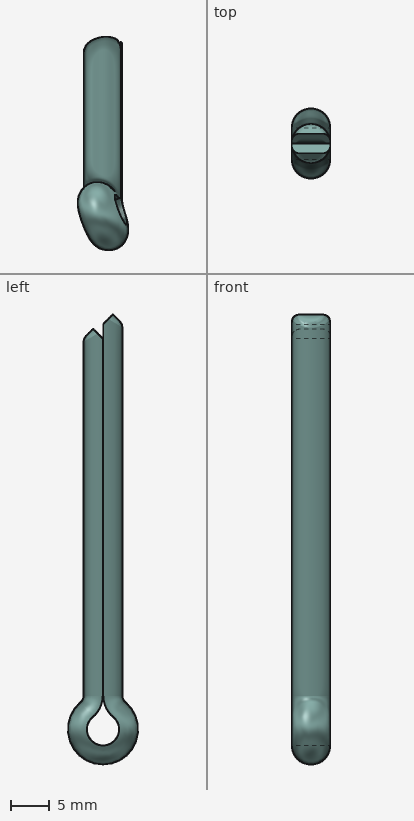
import cadquery as cq
import math


overall_length = 58.45
wire_radius = 2.5
eye_outer_radius = 4.59
leg_gap = 0.05
neck_height = 8.95
short_leg_step = 1.85
tip_edge_radius = 1.05

half_gap = leg_gap / 2
eye_inner_radius = eye_outer_radius - wire_radius
eye_height = eye_outer_radius
ridge_y = half_gap + wire_radius / 2

neck_rise = neck_height - eye_height
neck_radius = (neck_rise**2 + half_gap**2 - eye_inner_radius**2) / (2 * (eye_inner_radius - half_gap))
tangent_angle = math.atan2(neck_rise, half_gap + neck_radius)


def half_disc(plane, flat_offset):
    """Wire section, round towards the plane's local +X, with its flat at flat_offset."""
    return (
        cq.Workplane(plane)
        .moveTo(flat_offset, -wire_radius)
        .threePointArc((flat_offset + wire_radius, 0), (flat_offset, wire_radius))
        .close()
    )


def leg_section():
    """Section of the +Y leg where it meets its neck bend."""
    plane = cq.Plane(origin=(0, 0, neck_height), xDir=(0, 1, 0), normal=(0, 0, 1))
    return half_disc(plane, half_gap)


def make_eye():
    """Wire bent around the bottom of the eye, from one neck bend to the other."""
    along = math.cos(tangent_angle)
    up = math.sin(tangent_angle)
    plane = cq.Plane(origin=(0, 0, eye_height), xDir=(0, along, up), normal=(0, -up, along))
    sweep_angle = 180 + 2 * math.degrees(tangent_angle)
    return half_disc(plane, eye_inner_radius).revolve(sweep_angle, (0, 0), (0, 1))


def make_neck():
    """Reverse bend that leads from the +Y leg down to the eye."""
    bend_center = half_gap + neck_radius
    return leg_section().revolve(math.degrees(tangent_angle), (bend_center, 0), (bend_center, -1))


def bevel_cutter(ridge_height, side):
    """Material above a 45 degree plane that falls from the ridge towards side (+1 or -1) in Y."""
    reach = wire_radius
    low_y = ridge_y + side * reach
    high_y = ridge_y - side * reach
    return (
        cq.Workplane("YZ")
        .moveTo(high_y, ridge_height + reach)
        .lineTo(low_y, ridge_height - reach)
        .lineTo(low_y, ridge_height + reach)
        .close()
        .extrude(2 * wire_radius, both=True)
    )


def make_leg(ridge_height):
    """Straight +Y leg with a roof-shaped tip, rounded along its outer bevel."""
    blank_length = ridge_height + wire_radius - neck_height
    leg = leg_section().extrude(blank_length).cut(bevel_cutter(ridge_height, 1))
    leg = leg.edges("%ELLIPSE").fillet(tip_edge_radius)
    return leg.cut(bevel_cutter(ridge_height, -1))


neck = make_neck()
short_leg = make_leg(overall_length - short_leg_step)
long_leg = make_leg(overall_length).mirror("XZ")

result = make_eye().union(neck).union(neck.mirror("XZ")).union(short_leg).union(long_leg)